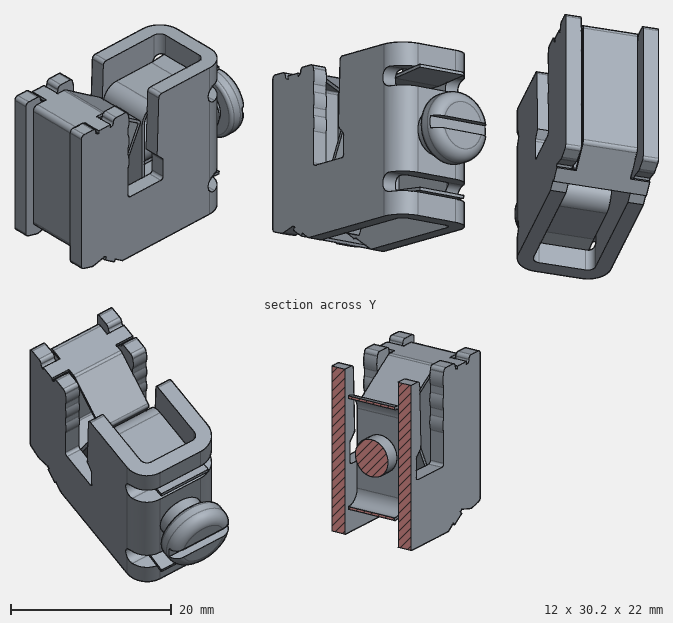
import cadquery as cq
import math


WIDTH = 12.0
LENGTH = 25.0
HEIGHT = 22.0
WALL = 2.0
BEND_OUTER = 3.0
BEND_INNER = BEND_OUTER - WALL
EDGE_ROUND = 0.5
MID_Z = HEIGHT / 2

SLOT_FLOOR_Z = 9.0
SLOT_ROUND = 0.4
FRONT_JAW_Y = 8.03
REAR_JAW_TOP_Y = 13.3
REAR_JAW_LOW_Y = 13.0
SLOT_BACK_Y = 14.03
UNDERCUT_Z = 12.0
REAR_JAW_LOW_Z = UNDERCUT_Z + (SLOT_BACK_Y - REAR_JAW_LOW_Y)

RIB_TOP_Z = 20.45
RIB_PITCH = 3.0
RIB_COUNT = 3
RIB_CHORD = 2.0
RIB_RISE = 0.17

SEAT_MID_Y = 4.0
SEAT_WIDTH = 3.0
SLOPE_END_Y = 7.04
SLOPE = 2.0 / 3.0
FOOT_LENGTH = 4.0
FOOT_SIDE_Z = SLOPE * (SLOPE_END_Y - FOOT_LENGTH)
FOOT_DEPTH = 0.53
FOOT_ROUND = 1.0

BACK_SLOT_LOW = 16.5
BACK_SLOT_HIGH = 19.0
BACK_SLOT_CENTRE_Y = 23.0

SHEET = 0.4
STRIP_WIDTH = 7.0
SPRING_FRONT_Y = 0.8
SPRING_TOP_Z = 21.4
SPRING_TOP_END_Y = 6.25
SPRING_NOSE = (12.65, 17.17)
SPRING_LEG_LEAN = 0.482
SPRING_LEG_END_Z = 2.0
SPRING_CORNER_ROUND = 0.7
SPRING_NOSE_ROUND = 0.5
SPRING_BOTTOM_END_Y = 5.64
BOTTOM_TAB_FRONT_Y = 4.08
TOP_TAB_LENGTH = 2.0

CLAMP_FRONT_Y = 12.8
CLAMP_TOP_Z = 18.57
CLAMP_ROUND = 2.25
CLAMP_CREASE_Y = 21.05
CLAMP_TIP_Y = 26.0
CLAMP_TIP_SLOPE = 0.1

SCREW_END_Y = 30.2
HEAD_DIAMETER = 9.0
HEAD_LENGTH = 3.0
HEAD_DOME_ROUND = 1.5
HEAD_UNDER_ROUND = 0.45
SHANK_DIAMETER = 5.0
COLLAR_DIAMETER = 6.0
COLLAR_LENGTH = 1.5
DRIVE_SLOT_WIDTH = 1.55
DRIVE_SLOT_DEPTH = 1.05

SEAT_FLOOR_Z = SPRING_TOP_Z - SHEET
SHEET_DROP = SHEET * math.hypot(1, SLOPE)

TOUCHING = 1e-6


def unit(start, end):
    length = math.hypot(end[0] - start[0], end[1] - start[1])
    return ((end[0] - start[0]) / length, (end[1] - start[1]) / length)


def along(point, direction, distance):
    return (point[0] + direction[0] * distance, point[1] + direction[1] * distance)


def extruded_outline(corners, width):
    """Closed Y-Z outline of (y, z, corner radius) entries, extruded across X about the centre."""
    pieces = []
    for index, (y, z, radius) in enumerate(corners):
        corner = (y, z)
        if radius == 0:
            pieces.append([corner])
            continue
        back = unit(corner, corners[index - 1][:2])
        ahead = unit(corner, corners[(index + 1) % len(corners)][:2])
        half_angle = math.acos(back[0] * ahead[0] + back[1] * ahead[1]) / 2
        setback = radius / math.tan(half_angle)
        bisector = unit((0, 0), (back[0] + ahead[0], back[1] + ahead[1]))
        middle = along(corner, bisector, radius / math.sin(half_angle) - radius)
        pieces.append([along(corner, back, setback), middle, along(corner, ahead, setback)])

    outline = cq.Workplane("YZ").moveTo(*pieces[0][-1])
    end = pieces[0][-1]
    for piece in pieces[1:] + pieces[:1]:
        if math.dist(end, piece[0]) > TOUCHING:
            outline = outline.lineTo(*piece[0])
        end = piece[-1]
        if len(piece) > 1:
            outline = outline.threePointArc(piece[1], piece[2])
    return outline.close().extrude(width / 2, both=True)


def folded_sheet(outer, width):
    """Sheet strip whose outer face follows (y, z, bend radius); the metal lies to the left of travel."""
    inner = []
    last = len(outer) - 1
    for index, (y, z, radius) in enumerate(outer):
        arriving = unit(outer[max(index - 1, 0)][:2], outer[max(index, 1)][:2])
        leaving = unit(outer[min(index, last - 1)][:2], outer[min(index + 1, last)][:2])
        miter = unit((0, 0), (-arriving[1] - leaving[1], arriving[0] + leaving[0]))
        spread = -miter[0] * arriving[1] + miter[1] * arriving[0]
        inner_y, inner_z = along((y, z), miter, SHEET / spread)
        inner.append((inner_y, inner_z, max(radius - SHEET, 0)))
    return extruded_outline(outer + inner[::-1], width)


def slope_z(y):
    """Height of the sloped bottom edge of the side plates."""
    return SLOPE * (SLOPE_END_Y - y)


def side_profile():
    seat_front = SEAT_MID_Y - SEAT_WIDTH / 2
    seat_back = SEAT_MID_Y + SEAT_WIDTH / 2
    return extruded_outline([
        (0, HEIGHT, EDGE_ROUND),
        (seat_front, HEIGHT, EDGE_ROUND),
        (seat_front, SEAT_FLOOR_Z, EDGE_ROUND),
        (seat_back, SEAT_FLOOR_Z, EDGE_ROUND),
        (seat_back, HEIGHT, EDGE_ROUND),
        (FRONT_JAW_Y, HEIGHT, EDGE_ROUND),
        (FRONT_JAW_Y, SLOT_FLOOR_Z, SLOT_ROUND),
        (SLOT_BACK_Y, SLOT_FLOOR_Z, SLOT_ROUND),
        (SLOT_BACK_Y, UNDERCUT_Z, SLOT_ROUND),
        (REAR_JAW_LOW_Y, REAR_JAW_LOW_Z, 0),
        (REAR_JAW_TOP_Y, HEIGHT, EDGE_ROUND),
        (LENGTH, HEIGHT, 0),
        (LENGTH, 0, 0),
        (SLOPE_END_Y, 0, 0),
        (FOOT_LENGTH, FOOT_SIDE_Z, 0),
        (FOOT_LENGTH / 2, FOOT_SIDE_Z - FOOT_DEPTH, FOOT_ROUND),
        (0, FOOT_SIDE_Z, EDGE_ROUND),
    ], WIDTH)


def jaw_ribs():
    ribs = cq.Workplane("YZ")
    for index in range(RIB_COUNT):
        z = RIB_TOP_Z - index * RIB_PITCH
        ribs = (
            ribs.moveTo(FRONT_JAW_Y, z - RIB_CHORD / 2)
            .threePointArc((FRONT_JAW_Y + RIB_RISE, z), (FRONT_JAW_Y, z + RIB_CHORD / 2))
            .close()
        )
    return ribs.extrude(WIDTH / 2, both=True)


def u_block(width, length, bend):
    """Upright block from the front end to the given length, with its two back edges rounded."""
    block = cq.Workplane("XY").box(width, length, HEIGHT, centered=(True, False, False))
    return block.edges("|Z and >Y").fillet(bend)


def back_slot():
    radius = (BACK_SLOT_HIGH - BACK_SLOT_LOW) / 2
    return (
        cq.Workplane("YZ")
        .moveTo(LENGTH, BACK_SLOT_LOW)
        .lineTo(BACK_SLOT_CENTRE_Y, BACK_SLOT_LOW)
        .threePointArc(
            (BACK_SLOT_CENTRE_Y - radius, BACK_SLOT_LOW + radius),
            (BACK_SLOT_CENTRE_Y, BACK_SLOT_HIGH),
        )
        .lineTo(LENGTH, BACK_SLOT_HIGH)
        .close()
        .extrude(WIDTH / 2, both=True)
    )


def bracket():
    body = side_profile().union(jaw_ribs())
    body = body.intersect(u_block(WIDTH, LENGTH, BEND_OUTER))
    body = body.cut(u_block(WIDTH - 2 * WALL, LENGTH - WALL, BEND_INNER))
    upper_slot = back_slot()
    lower_slot = upper_slot.mirror("XY", (0, 0, MID_Z))
    return body.cut(upper_slot).cut(lower_slot)


def spring():
    """Spring strip folded round the front jaw, with tabs resting on both side plates."""
    def outer_slope_z(y):
        return slope_z(y) - SHEET_DROP

    nose_y, nose_z = SPRING_NOSE
    leg_end_y = nose_y - SPRING_LEG_LEAN * (nose_z - SPRING_LEG_END_Z)
    strip = folded_sheet([
        (leg_end_y, SPRING_LEG_END_Z, 0),
        (nose_y, nose_z, SPRING_NOSE_ROUND),
        (SPRING_TOP_END_Y, SPRING_TOP_Z, SPRING_CORNER_ROUND),
        (SPRING_FRONT_Y, SPRING_TOP_Z, SPRING_CORNER_ROUND),
        (SPRING_FRONT_Y, outer_slope_z(SPRING_FRONT_Y), SPRING_CORNER_ROUND),
        (SPRING_BOTTOM_END_Y, outer_slope_z(SPRING_BOTTOM_END_Y), 0),
    ], STRIP_WIDTH)
    bottom_tabs = folded_sheet([
        (BOTTOM_TAB_FRONT_Y, outer_slope_z(BOTTOM_TAB_FRONT_Y), 0),
        (SPRING_BOTTOM_END_Y, outer_slope_z(SPRING_BOTTOM_END_Y), 0),
    ], WIDTH)
    top_tabs = folded_sheet([
        (SEAT_MID_Y + TOP_TAB_LENGTH / 2, SPRING_TOP_Z, 0),
        (SEAT_MID_Y - TOP_TAB_LENGTH / 2, SPRING_TOP_Z, 0),
    ], WIDTH)
    return strip.union(bottom_tabs).union(top_tabs)


def clamp_strip():
    """C-shaped clamping strip whose flared arms reach out through the back slots."""
    tip_z = CLAMP_TOP_Z + CLAMP_TIP_SLOPE * (CLAMP_TIP_Y - CLAMP_CREASE_Y)
    upper_arm = [
        (CLAMP_TIP_Y, tip_z, 0),
        (CLAMP_CREASE_Y, CLAMP_TOP_Z, 0),
        (CLAMP_FRONT_Y, CLAMP_TOP_Z, CLAMP_ROUND),
    ]
    lower_arm = [(y, HEIGHT - z, radius) for y, z, radius in reversed(upper_arm)]
    return folded_sheet(upper_arm + lower_arm, STRIP_WIDTH)


def rod(diameter, start_y, end_y):
    """Cylinder on the screw axis between two Y positions."""
    plane = cq.Plane(origin=(0, start_y, MID_Z), xDir=(0, 0, 1), normal=(0, 1, 0))
    return cq.Workplane(plane).circle(diameter / 2).extrude(end_y - start_y)


def screw():
    head_y = SCREW_END_Y - HEAD_LENGTH
    head = rod(HEAD_DIAMETER, head_y, SCREW_END_Y)
    head = head.faces(">Y").edges().fillet(HEAD_DOME_ROUND)
    head = head.faces("<Y").edges().fillet(HEAD_UNDER_ROUND)
    drive_slot = cq.Workplane("XY").box(HEAD_DIAMETER, 2 * DRIVE_SLOT_DEPTH, DRIVE_SLOT_WIDTH)
    head = head.cut(drive_slot.translate((0, SCREW_END_Y, MID_Z)))
    shank = rod(SHANK_DIAMETER, CLAMP_FRONT_Y + SHEET / 2, head_y)
    collar = rod(COLLAR_DIAMETER, LENGTH - WALL / 2, LENGTH + COLLAR_LENGTH)
    return head.union(shank).union(collar)


result = bracket().union(spring()).union(clamp_strip()).union(screw())